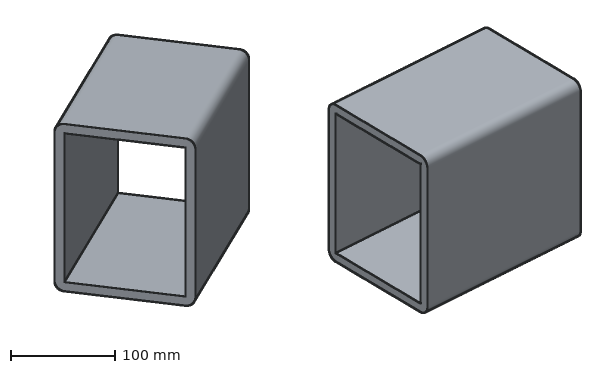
import cadquery as cq

width = 140.5
length = 200
height = 179.5
wall = 10
corner_radius = wall

outer = (
    cq.Workplane("XY")
    .box(width, length, height)
    .edges("|Y")
    .fillet(corner_radius)
)

opening = cq.Workplane("XY").box(width - 2 * wall, length, height - 2 * wall)

result = outer.cut(opening)